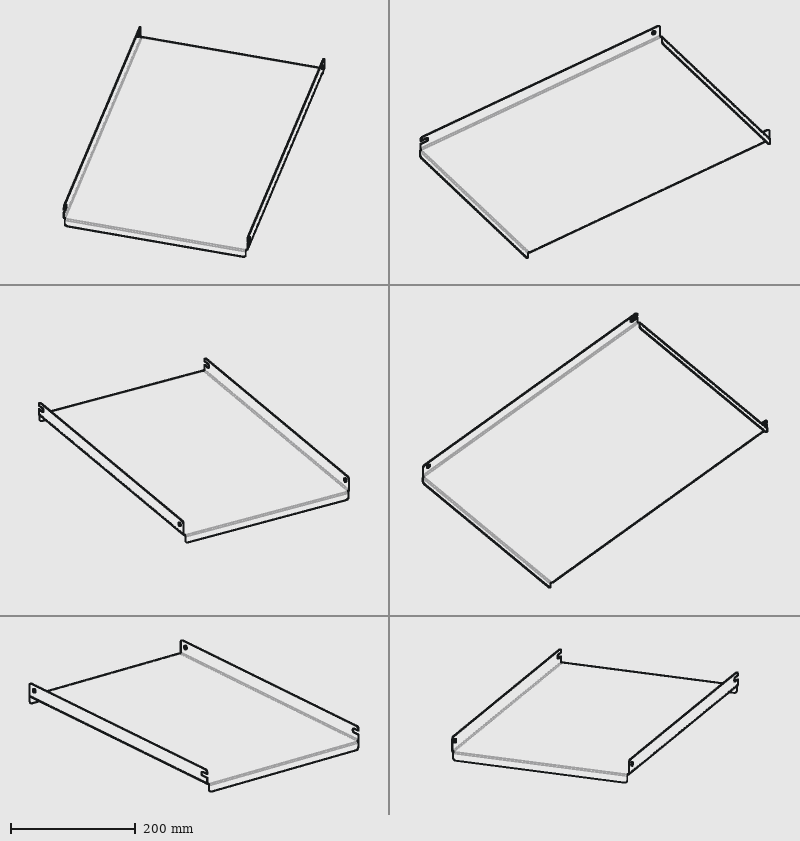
import cadquery as cq

width = 306.0
length = 475.0
height = 38.0

thickness = 1.5
bend_radius = 1.5
bend_outer_radius = bend_radius + thickness
plate_bottom = 13.5
plate_top = plate_bottom + thickness

wall_end_inset = bend_outer_radius
lip_end_inset = bend_outer_radius
wall_length = length - 2 * wall_end_inset
lip_length = width - 2 * lip_end_inset
wall_corner_radius = 5.0
lip_corner_radius = 4.8

mount_z = height - 10.0
hole_diameter = 6.5
hole_y = length / 2 - 15.0
slot_height = 6.5
slot_end_y = -length / 2 + 18.0


def bent_channel(workplane, span, flange_height, base_z, direction, depth):
    """Folded sheet of a flat base with one flange at each end.

    base_z is the outer face of the base; direction (+1 or -1) is the way the flanges point.
    """
    outer = (
        workplane.center(0, base_z + direction * flange_height / 2)
        .rect(span, flange_height)
        .extrude(depth / 2, both=True)
    )
    base_side = "<Z" if direction > 0 else ">Z"
    fold_edges = "|Y" if workplane.plane.zDir.y else "|X"
    outer = outer.faces(base_side).edges(fold_edges).fillet(bend_outer_radius)
    cavity = (
        workplane.center(0, base_z + direction * (thickness + flange_height / 2))
        .rect(span - 2 * thickness, flange_height)
        .extrude(depth / 2, both=True)
    )
    cavity = cavity.faces(base_side).edges(fold_edges).fillet(bend_radius)
    return outer.cut(cavity)


def side_walls():
    """Plate with the two upright walls, their holes and their slots."""
    walls = bent_channel(cq.Workplane("XZ"), width, height - plate_bottom, plate_bottom, 1, wall_length)
    walls = walls.edges("|X and >Z").edges("<Y or >Y").fillet(wall_corner_radius)
    hole = (
        cq.Workplane("YZ")
        .center(hole_y, mount_z)
        .circle(hole_diameter / 2)
        .extrude(width / 2, both=True)
    )
    slot_length = 2 * (slot_end_y + length / 2)
    slot = (
        cq.Workplane("YZ")
        .center(-length / 2, mount_z)
        .slot2D(slot_length, slot_height)
        .extrude(width / 2, both=True)
    )
    return walls.cut(hole).cut(slot)


def end_lips():
    """Plate with the two downturned lips at the ends."""
    lips = bent_channel(cq.Workplane("YZ"), length, plate_top, plate_top, -1, lip_length)
    return lips.edges("|Y and <Z").edges("<X or >X").fillet(lip_corner_radius)


result = side_walls().union(end_lips())